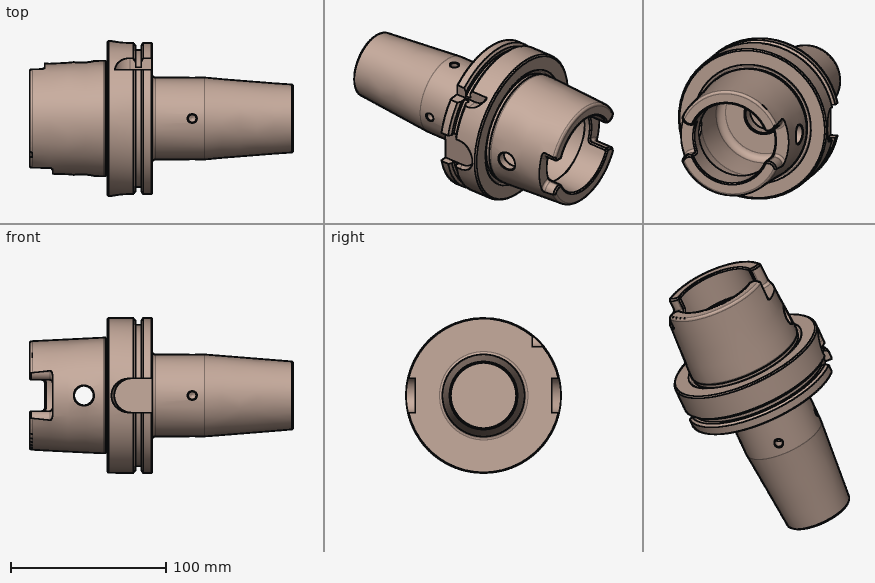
import cadquery as cq
import math

SHANK_END_X = -50.0
FLANGE_END_X = 29.0
NOSE_CONE_X = 62.7
NOSE_END_X = 120.0

SHANK_BASE_R = 37.5
SHANK_TAPER = 1 / 20
SHANK_END_ROUND = 1.7
FACE_RECESS_R = 39.7
FACE_RECESS_FILLET = 1.3
RELIEF_START_X = -2.4
RELIEF_END_X = -1.4
RELIEF_R = 36.9
BORE_R = 26.5
BORE_RIM_CHAMFER = 0.9
UNDERCUT_START_X = -30.2
UNDERCUT_R = 31.5
UNDERCUT_CONE_ANGLE = 60.0
INNER_CONE_START_X = -9.5
INNER_CONE_END_R = 30.0
BORE_FLOOR_X = 22.0
BORE_FLOOR_FILLET = 4.9
POCKET_R = 11.6
POCKET_CHAMFER = 0.8
POCKET_DEPTH = 10.0
CLAMP_HOLE_X = -15.0
CLAMP_HOLE_R = 6.2
CLAMP_HOLE_CHAMFER = 0.4

FLANGE_R = 50.0
FLANGE_CHAMFER = 1.0
FLANGE_REAR_CHAMFER = 0.5
GROOVE_START_X = 16.7
GROOVE_END_X = 23.2
GROOVE_FLOOR_START_X = 18.4
GROOVE_FLOOR_END_X = 21.8
GROOVE_SHOULDER_R = 48.0
GROOVE_R = 45.7

NOSE_R = 26.5
NOSE_CONE_ANGLE = 4.5
NOSE_END_CHAMFER = 1.0
NOSE_FILLET = 2.0

SHANK_SLOT_FLOORS = {-1: -35.2, 1: -40.3}
SHANK_SLOT_HALF_WIDTH = 10.0
SHANK_SLOT_FLARE_R = 5.4
SHANK_SLOT_FLOOR_FILLET = 1.8
SHANK_SLOT_MOUTH_CHAMFER = 1.1

KEYWAY_HALF_WIDTH = 11.0
KEYWAY_FLOOR_Y = 44.0
KEYWAY_FLOOR_TIP_X = 4.6
KEYWAY_MOUTH_TIP_X = 2.7

NOTCH_WALL = 31.5
NOTCH_CUTTER_R = 10.0
NOTCH_ROUND_X = 14.5

NOSE_HOLE_X = 54.8
NOSE_HOLE_R = 2.6
NOSE_HOLE_MOUTH_R = 3.1
NOSE_HOLE_DEPTH = 9.0
NOSE_HOLE_COUNT = 4
DRILL_POINT_ANGLE = 118.0

MARGIN = 5.0
TOLERANCE = 0.05


def revolve_profile(sketch):
    """Close and revolve an (x, radius) profile about the X axis."""
    return sketch.close().revolve(360, (0, 0, 0), (1, 0, 0))


def make_body():
    shank_end_r = SHANK_BASE_R + SHANK_TAPER * SHANK_END_X
    rounded_r = shank_end_r + SHANK_TAPER * SHANK_END_ROUND
    relief_start_r = SHANK_BASE_R + SHANK_TAPER * RELIEF_START_X
    nose_end_r = NOSE_R - (NOSE_END_X - NOSE_CONE_X) * math.tan(math.radians(NOSE_CONE_ANGLE))
    relief_step = relief_start_r - RELIEF_R
    profile = (
        cq.Workplane("XZ")
        .moveTo(SHANK_END_X, 0)
        .lineTo(SHANK_END_X, shank_end_r - SHANK_END_ROUND)
        .radiusArc((SHANK_END_X + SHANK_END_ROUND, rounded_r), SHANK_END_ROUND)
        .lineTo(RELIEF_START_X, relief_start_r)
        .lineTo(RELIEF_END_X, relief_start_r)
        .lineTo(RELIEF_END_X + relief_step, RELIEF_R)
        .lineTo(FACE_RECESS_FILLET, RELIEF_R)
        .lineTo(FACE_RECESS_FILLET, FACE_RECESS_R - FACE_RECESS_FILLET)
        .radiusArc((0, FACE_RECESS_R), -FACE_RECESS_FILLET)
        .lineTo(0, FLANGE_R - FLANGE_CHAMFER)
        .lineTo(FLANGE_CHAMFER, FLANGE_R)
        .lineTo(GROOVE_START_X, FLANGE_R)
        .lineTo(GROOVE_FLOOR_START_X, GROOVE_SHOULDER_R)
        .lineTo(GROOVE_FLOOR_START_X, GROOVE_R)
        .lineTo(GROOVE_FLOOR_END_X, GROOVE_R)
        .lineTo(GROOVE_FLOOR_END_X, GROOVE_SHOULDER_R)
        .lineTo(GROOVE_END_X, FLANGE_R)
        .lineTo(FLANGE_END_X - FLANGE_REAR_CHAMFER, FLANGE_R)
        .lineTo(FLANGE_END_X, FLANGE_R - FLANGE_REAR_CHAMFER)
        .lineTo(FLANGE_END_X, NOSE_R + NOSE_FILLET)
        .radiusArc((FLANGE_END_X + NOSE_FILLET, NOSE_R), -NOSE_FILLET)
        .lineTo(NOSE_CONE_X, NOSE_R)
        .lineTo(NOSE_END_X - NOSE_END_CHAMFER, nose_end_r)
        .lineTo(NOSE_END_X, nose_end_r - NOSE_END_CHAMFER)
        .lineTo(NOSE_END_X, 0)
    )
    return revolve_profile(profile)


def make_bore():
    cone_length = (UNDERCUT_R - BORE_R) / math.tan(math.radians(UNDERCUT_CONE_ANGLE))
    profile = (
        cq.Workplane("XZ")
        .moveTo(SHANK_END_X, 0)
        .lineTo(SHANK_END_X, BORE_R)
        .lineTo(UNDERCUT_START_X, BORE_R)
        .lineTo(UNDERCUT_START_X + cone_length, UNDERCUT_R)
        .lineTo(INNER_CONE_START_X, UNDERCUT_R)
        .lineTo(BORE_FLOOR_X - BORE_FLOOR_FILLET, INNER_CONE_END_R)
        .radiusArc((BORE_FLOOR_X, INNER_CONE_END_R - BORE_FLOOR_FILLET), BORE_FLOOR_FILLET)
        .lineTo(BORE_FLOOR_X, POCKET_R + POCKET_CHAMFER)
        .lineTo(BORE_FLOOR_X + POCKET_CHAMFER, POCKET_R)
        .lineTo(BORE_FLOOR_X + POCKET_DEPTH, POCKET_R)
        .lineTo(BORE_FLOOR_X + POCKET_DEPTH, 0)
    )
    return revolve_profile(profile)


def shank_slot_outline(side, x, growth=0.0):
    """Slot outline at station x, flaring round the lobe corners; growth moves its walls outwards."""
    half = SHANK_SLOT_HALF_WIDTH + growth
    flare_r = SHANK_SLOT_FLARE_R - growth
    flare_z = half + flare_r
    flare_y = side * BORE_R
    wall_y = side * (BORE_R + flare_r)
    outer_y = side * (SHANK_BASE_R + MARGIN)
    return (
        cq.Workplane("YZ", origin=(x, 0, 0))
        .moveTo(0, -half)
        .lineTo(flare_y, -half)
        .radiusArc((wall_y, -flare_z), side * flare_r)
        .lineTo(wall_y, -SHANK_BASE_R)
        .lineTo(outer_y, -SHANK_BASE_R)
        .lineTo(outer_y, SHANK_BASE_R)
        .lineTo(wall_y, SHANK_BASE_R)
        .lineTo(wall_y, flare_z)
        .radiusArc((flare_y, half), side * flare_r)
        .lineTo(0, half)
        .close()
    )


def make_shank_slot(side):
    """Slot from the shank end on the given Y side, with a filleted floor."""
    floor_x = SHANK_SLOT_FLOORS[side]
    start_x = SHANK_END_X - MARGIN
    slot = shank_slot_outline(side, start_x).extrude(floor_x - start_x)
    return slot.faces(">X").edges("not(#Z and #X)").fillet(SHANK_SLOT_FLOOR_FILLET)


def make_shank_slot_mouth(side):
    """Wedge that chamfers the slot walls at the shank end face, running out an equal length past it."""
    size = SHANK_SLOT_MOUTH_CHAMFER
    outer = shank_slot_outline(side, SHANK_END_X - size, 2 * size).val()
    inner = shank_slot_outline(side, SHANK_END_X + size).val()
    return cq.Workplane(cq.Solid.makeLoft([outer, inner], True))


def keyway_outline(tip_x, y):
    """Round-ended keyway outline in the plane at the given Y, as a closed wire."""
    half = KEYWAY_HALF_WIDTH
    end_x = FLANGE_END_X + MARGIN
    return (
        cq.Workplane("XZ", origin=(0, y, 0))
        .moveTo(end_x, -half)
        .lineTo(tip_x + half, -half)
        .threePointArc((tip_x, 0), (tip_x + half, half))
        .lineTo(end_x, half)
        .close()
        .val()
    )


def make_keyway():
    """Flange drive slot on the -Y side; its round end leans towards the shank."""
    floor = keyway_outline(KEYWAY_FLOOR_TIP_X, -KEYWAY_FLOOR_Y)
    mouth = keyway_outline(KEYWAY_MOUTH_TIP_X, -FLANGE_R)
    return cq.Workplane(cq.Solid.makeLoft([floor, mouth], True))


def make_index_notch():
    """Corner notch with a round end, milled along Y through the +Y +Z flange rim."""
    top = FLANGE_R + MARGIN
    end_x = FLANGE_END_X + MARGIN
    return (
        cq.Workplane("XZ", origin=(0, NOTCH_WALL, 0))
        .moveTo(end_x, NOTCH_WALL)
        .lineTo(NOTCH_ROUND_X, NOTCH_WALL)
        .radiusArc((NOTCH_ROUND_X - NOTCH_CUTTER_R, NOTCH_WALL + NOTCH_CUTTER_R), NOTCH_CUTTER_R)
        .lineTo(NOTCH_ROUND_X - NOTCH_CUTTER_R, top)
        .lineTo(end_x, top)
        .close()
        .extrude(NOTCH_WALL - top)
    )


def make_nose_hole():
    """Blind drilled hole with a countersunk mouth on the +Z side of the nose."""
    floor_z = NOSE_R - NOSE_HOLE_DEPTH
    point_height = NOSE_HOLE_R / math.tan(math.radians(DRILL_POINT_ANGLE / 2))
    mouth_depth = NOSE_HOLE_MOUTH_R - NOSE_HOLE_R
    return (
        cq.Workplane("XZ")
        .moveTo(NOSE_HOLE_X, floor_z - point_height)
        .lineTo(NOSE_HOLE_X + NOSE_HOLE_R, floor_z)
        .lineTo(NOSE_HOLE_X + NOSE_HOLE_R, NOSE_R - mouth_depth)
        .lineTo(NOSE_HOLE_X + NOSE_HOLE_MOUTH_R, NOSE_R)
        .lineTo(NOSE_HOLE_X + NOSE_HOLE_MOUTH_R, NOSE_R + MARGIN)
        .lineTo(NOSE_HOLE_X, NOSE_R + MARGIN)
        .close()
        .revolve(360, (NOSE_HOLE_X, 0, 0), (NOSE_HOLE_X, 1, 0))
    )


def make_clamp_hole():
    """Cross hole through both shank walls along Y."""
    reach = SHANK_BASE_R + MARGIN
    return cq.Workplane("XZ").center(CLAMP_HOLE_X, 0).circle(CLAMP_HOLE_R).extrude(reach, both=True)


def on_bore_rim(edge):
    """True for the open rim of the bore: its mouth, the slot corners and the slot floors."""
    middle = edge.positionAt(0.5)
    on_bore = abs(math.hypot(middle.y, middle.z) - BORE_R) < TOLERANCE
    on_symmetry_plane = edge.geomType() == "LINE" and abs(middle.y) < TOLERANCE
    return on_bore and middle.x < UNDERCUT_START_X - TOLERANCE and not on_symmetry_plane


def on_clamp_hole_mouth(edge):
    """True for the outer rims of the clamp hole."""
    middle = edge.positionAt(0.5)
    off_axis = math.hypot(middle.x - CLAMP_HOLE_X, middle.z)
    mid_wall_r = (UNDERCUT_R + SHANK_BASE_R) / 2
    return abs(off_axis - CLAMP_HOLE_R) < TOLERANCE and abs(middle.y) > mid_wall_r


def chamfer_edges(body, is_chosen, size):
    chosen = [edge for edge in body.edges().vals() if is_chosen(edge)]
    return body.newObject(chosen).chamfer(size)


result = make_body().cut(make_bore()).cut(make_clamp_hole())
for slot_side in SHANK_SLOT_FLOORS:
    result = result.cut(make_shank_slot(slot_side)).cut(make_shank_slot_mouth(slot_side))
result = chamfer_edges(result, on_bore_rim, BORE_RIM_CHAMFER)
result = chamfer_edges(result, on_clamp_hole_mouth, CLAMP_HOLE_CHAMFER)

keyway = make_keyway()
result = result.cut(keyway).cut(keyway.mirror("XZ")).cut(make_index_notch())

nose_hole = make_nose_hole()
for index in range(NOSE_HOLE_COUNT):
    angle = index * 360 / NOSE_HOLE_COUNT
    result = result.cut(nose_hole.rotate((0, 0, 0), (1, 0, 0), angle))